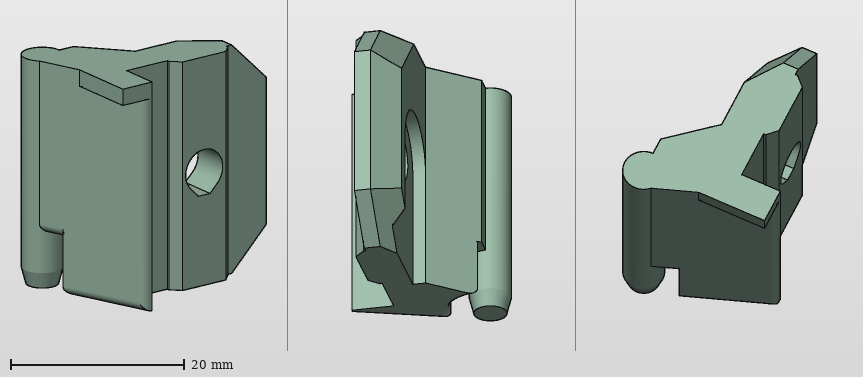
import cadquery as cq
import math

HEIGHT = 28.0

PIN_RADIUS = 2.45
TIP_HEIGHT = 2.0
TIP_RADIUS = 1.92

CLEARANCE_RADIUS = 4.85
CLEARANCE_HEIGHT = 7.0
EDGE_RADIUS = 1.0

PLATE_FRONT_X = 5.55
PLATE_THICKNESS = 4.9
PLATE_BACK_X = PLATE_FRONT_X + PLATE_THICKNESS
PLATE_END_Y = 24.5
PLATE_CORNER = 5.0
PLATE_BEVEL = 3.0

WEB_CORNER_Y = 4.5
PLATE_ROOT_Y = 9.25

RIB_END_X = 15.4
RIB_BACK_Y = 4.4
RIB_SLOPE = math.tan(math.radians(20.0))
LIP_START_X = 6.95
LIP_FACE_Y = 0.18
LIP_HEIGHT = 2.0

HOLE_Y = 14.5
HOLE_Z = HEIGHT / 2
HOLE_RADIUS = 2.65
HOLE_FLAT_DROP = 2.92
RECESS_RADIUS = HOLE_Y - PLATE_ROOT_Y
RECESS_DEPTH = 1.5
BOSS_WIDTH = 8.5
BOSS_HEIGHT = 1.43
BOSS_CHAMFER = 1.15


def rib_face_y(x):
    """Y of the sloping outer face at a given X."""
    return LIP_FACE_Y + (x - LIP_START_X) * RIB_SLOPE


def make_web_and_rib():
    """Web and rib with the clearance recess and the rounded edges."""
    body = (
        cq.Workplane("XY")
        .polyline([
            (0, rib_face_y(0)),
            (RIB_END_X, rib_face_y(RIB_END_X)),
            (RIB_END_X, RIB_BACK_Y),
            (PLATE_BACK_X, RIB_BACK_Y),
            (PLATE_BACK_X, PLATE_ROOT_Y),
            (PLATE_FRONT_X, PLATE_ROOT_Y),
            (0, WEB_CORNER_Y),
        ])
        .close()
        .extrude(HEIGHT)
    )
    clearance = cq.Workplane("XY").circle(CLEARANCE_RADIUS).extrude(CLEARANCE_HEIGHT)
    body = body.cut(clearance)

    diagonal = CLEARANCE_RADIUS * math.sqrt(0.5)
    rib_middle_x = (CLEARANCE_RADIUS + RIB_END_X) / 2
    ceiling_middle_x = CLEARANCE_RADIUS / 2
    rounded_edge_points = [
        (diagonal, diagonal, 0),
        (rib_middle_x, rib_face_y(rib_middle_x), 0),
        (RIB_END_X, rib_face_y(RIB_END_X), HEIGHT / 2),
        (ceiling_middle_x, rib_face_y(ceiling_middle_x), CLEARANCE_HEIGHT),
    ]
    rounded_edges = body.edges(cq.NearestToPointSelector(rounded_edge_points[0]))
    for point in rounded_edge_points[1:]:
        rounded_edges = rounded_edges.add(body.edges(cq.NearestToPointSelector(point)))
    return rounded_edges.fillet(EDGE_RADIUS)


def make_lip():
    """Square-faced lip along the top of the rib."""
    return (
        cq.Workplane("XY", origin=(0, 0, HEIGHT - LIP_HEIGHT))
        .moveTo(LIP_START_X, LIP_FACE_Y)
        .lineTo(RIB_END_X, LIP_FACE_Y)
        .lineTo(RIB_END_X, RIB_BACK_Y)
        .lineTo(LIP_START_X, RIB_BACK_Y)
        .close()
        .extrude(LIP_HEIGHT)
    )


def plate_outline(inset):
    """Plate outline with its end and corner edges moved inward by the inset."""
    end_y = PLATE_END_Y - inset
    corner_y = PLATE_END_Y - PLATE_CORNER - inset * math.sqrt(2)
    corner_run = end_y - corner_y
    return [
        (RIB_BACK_Y, 0),
        (corner_y, 0),
        (end_y, corner_run),
        (end_y, HEIGHT - corner_run),
        (corner_y, HEIGHT),
        (RIB_BACK_Y, HEIGHT),
    ]


def make_plate():
    """Plate with cut corners, bevelled around its free end on the front."""
    bevelled = (
        cq.Workplane("YZ", origin=(PLATE_FRONT_X, 0, 0))
        .polyline(plate_outline(PLATE_BEVEL))
        .close()
        .workplane(offset=PLATE_BEVEL)
        .polyline(plate_outline(0))
        .close()
        .loft(ruled=True)
    )
    straight = (
        cq.Workplane("YZ", origin=(PLATE_FRONT_X + PLATE_BEVEL, 0, 0))
        .polyline(plate_outline(0))
        .close()
        .extrude(PLATE_THICKNESS - PLATE_BEVEL)
    )
    web_space = cq.Workplane("XY").box(
        RIB_END_X, PLATE_ROOT_Y, HEIGHT, centered=False
    )
    return bevelled.union(straight).cut(web_space)


def make_boss():
    """Full-height pad with chamfered sides on the back of the plate."""
    half_width = BOSS_WIDTH / 2
    shoulder_x = PLATE_BACK_X + BOSS_HEIGHT - BOSS_CHAMFER
    top_x = PLATE_BACK_X + BOSS_HEIGHT
    return (
        cq.Workplane("XY")
        .polyline([
            (PLATE_BACK_X, HOLE_Y - half_width),
            (shoulder_x, HOLE_Y - half_width),
            (top_x, HOLE_Y - half_width + BOSS_CHAMFER),
            (top_x, HOLE_Y + half_width - BOSS_CHAMFER),
            (shoulder_x, HOLE_Y + half_width),
            (PLATE_BACK_X, HOLE_Y + half_width),
        ])
        .close()
        .extrude(HEIGHT)
    )


def make_recess():
    """Round-topped recess in the front of the plate, open at the bottom."""
    return (
        cq.Workplane("YZ", origin=(PLATE_FRONT_X, 0, 0))
        .moveTo(HOLE_Y - RECESS_RADIUS, 0)
        .lineTo(HOLE_Y + RECESS_RADIUS, 0)
        .lineTo(HOLE_Y + RECESS_RADIUS, HOLE_Z)
        .threePointArc((HOLE_Y, HOLE_Z + RECESS_RADIUS), (HOLE_Y - RECESS_RADIUS, HOLE_Z))
        .close()
        .extrude(RECESS_DEPTH)
    )


def make_hole():
    """Screw hole whose lower side is a flat between two 45 degree tangents."""
    tangent_offset = HOLE_RADIUS * math.sqrt(0.5)
    flat_half_width = HOLE_RADIUS * math.sqrt(2) - HOLE_FLAT_DROP
    return (
        cq.Workplane("YZ", origin=(PLATE_FRONT_X, 0, 0))
        .moveTo(HOLE_Y - flat_half_width, HOLE_Z - HOLE_FLAT_DROP)
        .lineTo(HOLE_Y + flat_half_width, HOLE_Z - HOLE_FLAT_DROP)
        .lineTo(HOLE_Y + tangent_offset, HOLE_Z - tangent_offset)
        .threePointArc(
            (HOLE_Y, HOLE_Z + HOLE_RADIUS),
            (HOLE_Y - tangent_offset, HOLE_Z - tangent_offset),
        )
        .close()
        .extrude(PLATE_THICKNESS + BOSS_HEIGHT)
    )


def make_pin():
    """Full-height pin with a tapered lower tip."""
    return (
        cq.Workplane("XZ")
        .polyline([
            (0, 0),
            (TIP_RADIUS, 0),
            (PIN_RADIUS, TIP_HEIGHT),
            (PIN_RADIUS, HEIGHT),
            (0, HEIGHT),
        ])
        .close()
        .revolve(360, (0, 0, 0), (0, 1, 0))
    )


result = (
    make_web_and_rib()
    .union(make_lip())
    .union(make_plate())
    .union(make_boss())
    .cut(make_recess())
    .cut(make_hole())
    .union(make_pin())
)